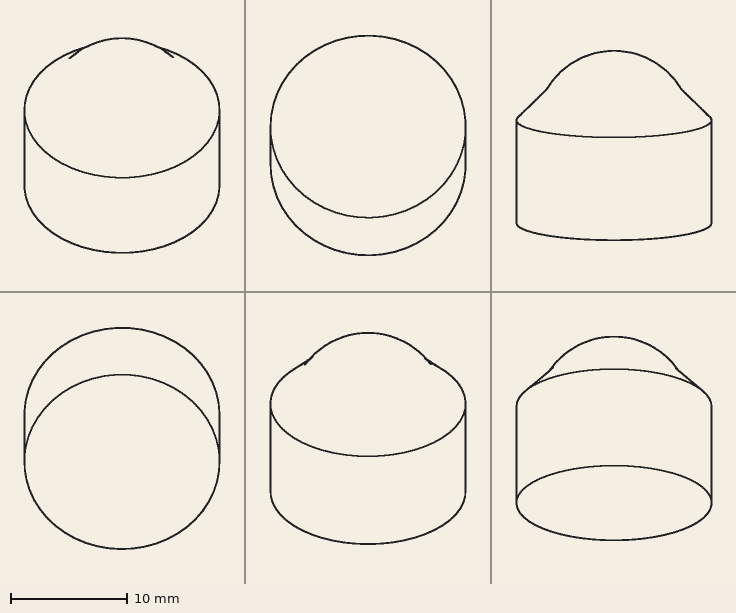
import cadquery as cq
import math

body_radius = 8.4
body_height = 8.99
total_height = 14.95
shoulder_height = 2.52
dome_base_radius = body_radius - shoulder_height
dome_base_height = body_height + shoulder_height

dome_height = total_height - dome_base_height
dome_radius = (dome_base_radius**2 + dome_height**2) / (2 * dome_height)
dome_center_height = total_height - dome_radius
dome_mid_angle = (math.asin((dome_base_height - dome_center_height) / dome_radius) + math.pi / 2) / 2
dome_mid = (
    dome_radius * math.cos(dome_mid_angle),
    dome_center_height + dome_radius * math.sin(dome_mid_angle),
)

profile = (
    cq.Workplane("XZ")
    .lineTo(body_radius, 0)
    .lineTo(body_radius, body_height)
    .lineTo(dome_base_radius, dome_base_height)
    .threePointArc(dome_mid, (0, total_height))
    .close()
)
result = profile.revolve(360, (0, 0, 0), (0, 1, 0))